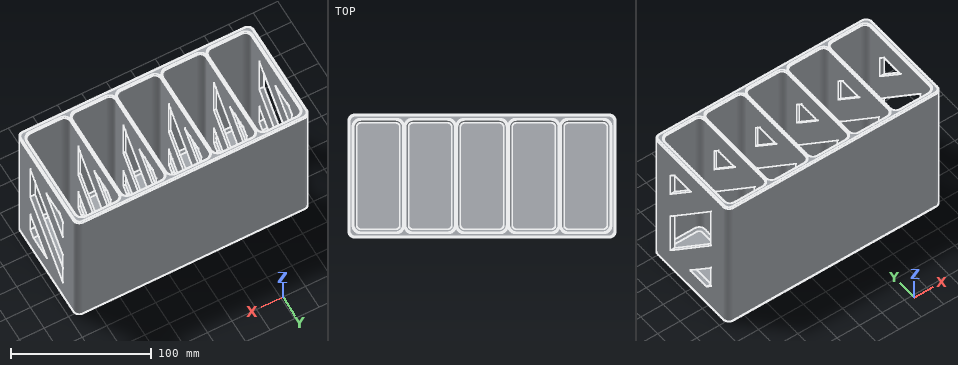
import cadquery as cq

LENGTH = 191.0
WIDTH = 88.0
HEIGHT = 124.0
CORNER_RADIUS = 5.0
BOTTOM_CHAMFER = 2.0
RIM_CHAMFER = 1.0

CELL_COUNT = 5
OUTER_WALL = 4.0
PARTITION = 2.0
FLOOR = 4.0
CELL_RADIUS = 5.0
FLOOR_CHAMFER = 2.1
MOUTH_CHAMFER = PARTITION / 2
CELL_LENGTH = (LENGTH - 2 * OUTER_WALL - (CELL_COUNT - 1) * PARTITION) / CELL_COUNT
CELL_WIDTH = WIDTH - 2 * OUTER_WALL
CELL_DEPTH = HEIGHT - FLOOR
CELL_PITCH = CELL_LENGTH + PARTITION

WINDOW_WIDTH = 48.0
WINDOW_HEIGHT = 85.0
SLOT_SIDE = 36.7
WINDOW_CORNER_CUT = 4.8
CORNER_OPENING_LEG = 24.5


def outer_body():
    """Block with rounded upright corners and chamfered top and bottom edges."""
    body = cq.Workplane("XY").box(LENGTH, WIDTH, HEIGHT, centered=(True, True, False))
    body = body.edges("|Z").fillet(CORNER_RADIUS)
    body = body.faces("<Z").edges().chamfer(BOTTOM_CHAMFER)
    return body.faces(">Z").edges().chamfer(RIM_CHAMFER)


def rounded_block(length, width, height, radius, center_x, bottom_z):
    """Upright block with rounded vertical edges."""
    base = cq.Workplane("XY", origin=(center_x, 0, bottom_z))
    return base.rect(length, width).extrude(height).edges("|Z").fillet(radius)


def compartment(center_x):
    """Rounded pocket with a bevel around its floor and a flared mouth."""
    pocket = rounded_block(CELL_LENGTH, CELL_WIDTH, CELL_DEPTH, CELL_RADIUS, center_x, FLOOR)
    pocket = pocket.faces("<Z").edges().chamfer(FLOOR_CHAMFER)
    flare = rounded_block(
        CELL_LENGTH + 2 * MOUTH_CHAMFER,
        CELL_WIDTH + 2 * MOUTH_CHAMFER,
        2 * MOUTH_CHAMFER,
        CELL_RADIUS + MOUTH_CHAMFER,
        center_x,
        HEIGHT - MOUTH_CHAMFER,
    )
    flare = flare.faces("<Z").edges().chamfer(MOUTH_CHAMFER)
    return pocket.union(flare)


def end_prism(points):
    """Prism along the full length from an outline of (y, z) points about the body centre."""
    plane = cq.Workplane("YZ", origin=(-LENGTH / 2, 0, HEIGHT / 2))
    return plane.polyline(points).close().extrude(LENGTH)


def windows():
    """Diagonal slot and two cut-off corner triangles, symmetric under a half turn."""
    y = WINDOW_WIDTH / 2
    z = WINDOW_HEIGHT / 2
    slot = [(-y, z), (y, SLOT_SIDE - z), (y, -z), (-y, z - SLOT_SIDE)]
    corner = [
        (y - WINDOW_CORNER_CUT, z),
        (y - CORNER_OPENING_LEG, z),
        (y, z - CORNER_OPENING_LEG),
        (y, z - WINDOW_CORNER_CUT),
    ]
    opposite_corner = [(-py, -pz) for py, pz in corner]
    return end_prism(slot).union(end_prism(corner)).union(end_prism(opposite_corner))


result = outer_body()
for index in range(CELL_COUNT):
    cell_x = (index - (CELL_COUNT - 1) / 2) * CELL_PITCH
    result = result.cut(compartment(cell_x))
result = result.cut(windows())